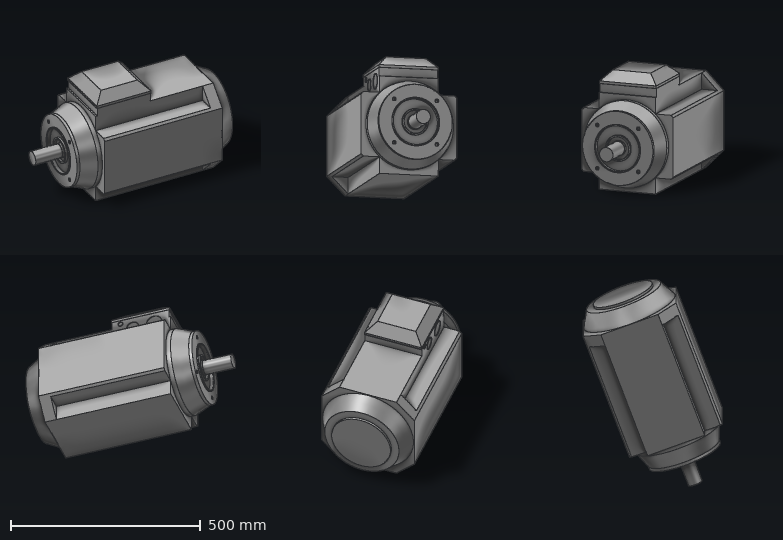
import cadquery as cq


housing_width = 261.0
housing_length = 352.0
flat_half_width = 80.5
housing_half = housing_width / 2
corner_chamfer = housing_half - flat_half_width
corner_pocket_length = 320.0
corner_pocket_floor = 86.5

shield_radius = 117.5
shield_rim_length = 13.0
flange_radius = 100.0
flange_back = 58.0
flange_front = 66.5
spigot_radius = 65.0
spigot_height = 3.5
spigot_front = flange_front + spigot_height

recess_radius = 61.5
recess_depth = 11.0
ring_outer_radius = 35.0
ring_inner_radius = 31.0
ring_height = 6.5
ring_bore_depth = 7.5
recess_floor = spigot_front - recess_depth
ring_front = recess_floor + ring_height
ring_floor = ring_front - ring_bore_depth

bolt_offset = 58.5
bolt_radius = 4.0
bolt_countersink_radius = 5.0
bolt_depth = 8.0
bolt_point_depth = 2.0

shaft_radius = 19.0
shaft_collar_radius = 20.0
shaft_collar_front = flange_front
overall_length = 550.0

cover_base_radius = 128.0
cover_end_radius = 104.5
cover_length = 45.0
cap_radius = 83.0
cap_length = 6.5
cover_end = housing_length + cover_length
cap_end = cover_end + cap_length
shaft_front = overall_length - cap_end

box_front = 5.0
box_rear = 164.5
lid_overhang = 1.5
lid_side_overhang = 0.5
lid_bottom = 154.0
lid_edge_height = 7.0
lid_slope = 27.0
lid_width = 2 * (flat_half_width + lid_side_overhang)
lid_front = box_front - lid_overhang
lid_length = box_rear + lid_overhang - lid_front
lid_middle = lid_front + lid_length / 2
lid_slope_bottom = lid_bottom + lid_edge_height

cable_entries = [(47.0, 124.0, 21.0), (106.5, 124.0, 16.5), (141.0, 143.5, 6.5)]
cable_entry_depth = 1.5


def box(x_range, y_range, z_range):
    """Block between the given limits."""
    (x0, x1), (y0, y1), (z0, z1) = x_range, y_range, z_range
    return cq.Workplane("XY").box(x1 - x0, y1 - y0, z1 - z0, centered=False).translate((x0, y0, z0))


def make_housing():
    """Square body with chamfered long edges and a square cut-away along each of them."""
    body = (
        cq.Workplane("XZ")
        .rect(housing_width, housing_width)
        .extrude(-housing_length)
        .edges("|Y")
        .chamfer(corner_chamfer)
    )
    pocket = box(
        (flat_half_width, housing_half),
        (0, corner_pocket_length),
        (corner_pocket_floor, housing_half),
    )
    right_pockets = pocket.union(pocket.mirror("XY"))
    return body.cut(right_pockets).cut(right_pockets.mirror("YZ"))


def make_turned_parts():
    """End shield, shaft, rear cover and cap, revolved about the shaft axis."""
    profile = [
        (0, -shaft_front),
        (shaft_radius, -shaft_front),
        (shaft_radius, -shaft_collar_front),
        (shaft_collar_radius, -shaft_collar_front),
        (shaft_collar_radius, -ring_floor),
        (ring_inner_radius, -ring_floor),
        (ring_inner_radius, -ring_front),
        (ring_outer_radius, -ring_front),
        (ring_outer_radius, -recess_floor),
        (recess_radius, -recess_floor),
        (recess_radius, -spigot_front),
        (spigot_radius, -spigot_front),
        (spigot_radius, -flange_front),
        (flange_radius, -flange_front),
        (flange_radius, -flange_back),
        (shield_radius, -shield_rim_length),
        (shield_radius, housing_length),
        (cover_base_radius, housing_length),
        (cover_end_radius, cover_end),
        (cap_radius, cover_end),
        (cap_radius, cap_end),
        (0, cap_end),
    ]
    return cq.Workplane("XY").polyline(profile).close().revolve(360, (0, 0), (0, 1))


def make_bolt_holes():
    """Four countersunk, drill-pointed blind holes in the flange face."""
    sink = bolt_countersink_radius - bolt_radius
    profile = [
        (0, 0),
        (bolt_countersink_radius, 0),
        (bolt_radius, sink),
        (bolt_radius, bolt_depth),
        (0, bolt_depth + bolt_point_depth),
    ]
    hole = cq.Workplane("XY").polyline(profile).close().revolve(360, (0, 0), (0, 1))
    holes = cq.Workplane("XY")
    for x in (-bolt_offset, bolt_offset):
        for z in (-bolt_offset, bolt_offset):
            holes = holes.add(hole.translate((x, -flange_front, z)))
    return holes.combine()


def make_terminal_box():
    """Box on top of the housing with a lid whose four sides slope inward at 45 degrees."""
    walls = box((-flat_half_width, flat_half_width), (box_front, box_rear), (0, lid_bottom))
    lid = (
        cq.Workplane("XY", origin=(0, lid_middle, lid_bottom))
        .rect(lid_width, lid_length)
        .extrude(lid_edge_height)
    )
    slopes = (
        cq.Workplane("XY", origin=(0, lid_middle, lid_slope_bottom))
        .rect(lid_width, lid_length)
        .extrude(lid_slope, taper=45)
    )
    return walls.union(lid).union(slopes)


def make_cable_entries():
    """Shallow round recesses in the -X wall of the terminal box."""
    recesses = cq.Workplane("YZ")
    for y, z, radius in cable_entries:
        recess = (
            cq.Workplane("YZ", origin=(-flat_half_width, y, z))
            .circle(radius)
            .extrude(cable_entry_depth)
        )
        recesses = recesses.add(recess)
    return recesses.combine()


result = (
    make_housing()
    .union(make_turned_parts())
    .union(make_terminal_box())
    .cut(make_bolt_holes())
    .cut(make_cable_entries())
)